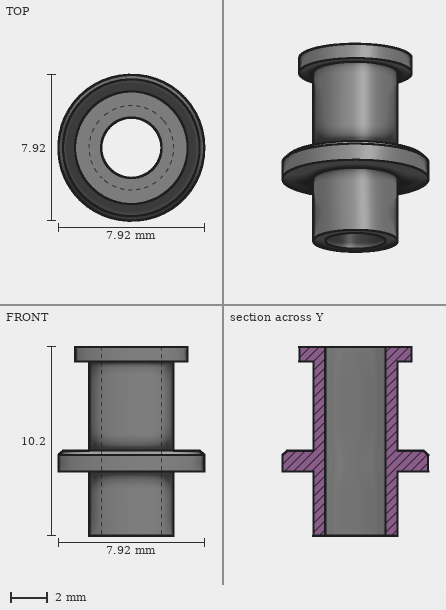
import cadquery as cq

total_height = 10.24
sleeve_diameter = 4.58
bore_diameter = 3.26

head_diameter = 6.1
head_thickness = 0.81

collar_diameter = 7.92
collar_bottom = 3.48
collar_thickness = 1.13
bevel_height = 0.23
bevel_width = 0.26


def disc(diameter, bottom, height):
    """Solid disc centred on the Z axis, starting at the given height."""
    return cq.Workplane("XY").workplane(offset=bottom).circle(diameter / 2).extrude(height)


def bevelled_collar():
    """Collar turned from a half section, with a bevelled upper rim."""
    radius = collar_diameter / 2
    collar_top = collar_bottom + collar_thickness
    return (
        cq.Workplane("XZ")
        .moveTo(0, collar_bottom)
        .lineTo(radius, collar_bottom)
        .lineTo(radius, collar_top - bevel_height)
        .lineTo(radius - bevel_width, collar_top)
        .lineTo(0, collar_top)
        .close()
        .revolve(360, (0, 0), (0, 1))
    )


sleeve = disc(sleeve_diameter, 0, total_height)
head = disc(head_diameter, total_height - head_thickness, head_thickness)
bore = disc(bore_diameter, 0, total_height)

result = sleeve.union(head).union(bevelled_collar()).cut(bore)